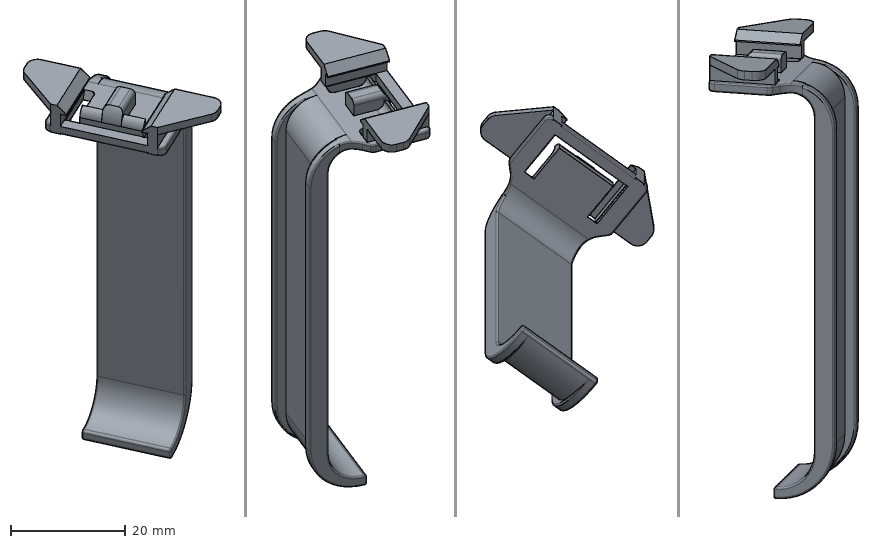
import cadquery as cq
import math

height = 80.0
depth = 22.2

plate_thickness = 1.7
plate_drop = 4.4
plate_top = height - plate_drop
plate_bottom = plate_top - plate_thickness
plate_half_width = 11.3
plate_front_radius = 1.2
plate_edge_fillet = 0.25
clip_length = 11.85

arm_half_width = 8.3
arm_thickness = 3.7
channel_half_width = 6.4
channel_depth = 2.0
arm_edge_fillet = 0.3
arm_front = depth - arm_thickness
channel_floor = depth - channel_depth

inner_bend_radius = 4.25
bend_y = arm_front - inner_bend_radius

hook_inner_radius = 6.8
hook_y = arm_front - hook_inner_radius
tip_thickness = 2.1
tip_y = 11.1
tip_fillet = 0.5

shoulder_end_y = 16.4
shoulder_hollow_radius = 5.2
shoulder_corner_radius = 1.3

post_outer = 10.0
post_inner = 8.2
wing_tip = 18.1
wing_thickness = 1.6
wing_corner_y = 7.6
wing_corner_radius = 2.0
barb_top = 8.8
barb_tip = 7.05
barb_slope_drop = 1.5
barb_drop = 1.8

window_half_width = 8.0
window_front = 2.2
window_back = 11.0
window_ramp = 0.8
window_corner_radius = 0.8
tongue_half_width = 5.9
tongue_front = 3.7
tongue_crest_y = 5.05
tongue_ramp_y = 6.4
tongue_crest_drop = 2.65
tongue_crest_z = height - tongue_crest_drop
nose_base_height = 1.5
nose_base_z = plate_bottom + nose_base_height

bump_half_width = 1.85
bump_back = 10.8
bump_drop = 1.3
bump_top = height - bump_drop
bump_fillet = 1.0

DIAGONAL = math.sqrt(0.5)


def yz_prism(profile, half_width):
    """Extrude a YZ profile equally to both sides of the middle plane."""
    return profile.extrude(half_width, both=True)


def yz_start(y, z):
    """Start a YZ profile at the given point."""
    return cq.Workplane("YZ").moveTo(y, z)


def arc_to(profile, center, radius, start_angle, end_angle):
    """Continue a profile along a circular arc; angles in degrees."""
    def on_circle(angle):
        a = math.radians(angle)
        return (center[0] + radius * math.cos(a), center[1] + radius * math.sin(a))

    return profile.threePointArc(on_circle((start_angle + end_angle) / 2), on_circle(end_angle))


def hook_profile(back_y, front_end_y):
    """Plate, bend, arm and hook in one strip whose back surface lies at back_y."""
    bend = back_y - bend_y
    hook = back_y - hook_y
    profile = yz_start(front_end_y, plate_top).lineTo(bend_y, plate_top)
    profile = arc_to(profile, (bend_y, plate_top - bend), bend, 90, 0)
    profile = profile.lineTo(back_y, hook)
    profile = arc_to(profile, (hook_y, hook), hook, 0, -90)
    profile = profile.lineTo(tip_y, 0).lineTo(tip_y, tip_thickness).lineTo(hook_y, tip_thickness)
    profile = arc_to(profile, (hook_y, tip_thickness + hook_inner_radius), hook_inner_radius, -90, 0)
    profile = profile.lineTo(arm_front, plate_bottom - inner_bend_radius)
    profile = arc_to(profile, (bend_y, plate_bottom - inner_bend_radius), inner_bend_radius, 0, 90)
    return profile.lineTo(front_end_y, plate_bottom).close()


def rounded_strip(back_y, width):
    """Arm strip, centered in X, with a rounded tip and rounded long edges."""
    strip = yz_prism(hook_profile(back_y, clip_length), width / 2)
    tip_middle_y = (tip_y + hook_y) / 2
    tip = cq.selectors.BoxSelector((-depth, 0, -tip_thickness), (depth, tip_middle_y, 2 * tip_thickness))
    strip = strip.edges("|X").edges(tip).fillet(tip_fillet)
    return strip.faces("<X or >X").edges("not(<Y)").fillet(arm_edge_fillet)


def make_arm():
    """Web with a rib along each side of its back."""
    rib_width = arm_half_width - channel_half_width
    rib = rounded_strip(depth, rib_width).translate((arm_half_width - rib_width / 2, 0, 0))
    return rounded_strip(channel_floor, 2 * arm_half_width).union(rib).union(rib.mirror("YZ"))


def make_channel():
    """Space behind the web, running out to nothing at the plate and at the hook tip."""
    bend = channel_floor - bend_y
    hook = channel_floor - hook_y
    profile = yz_start(bend_y, plate_top)
    profile = arc_to(profile, (bend_y, plate_top - bend), bend, 90, 0)
    profile = profile.lineTo(channel_floor, hook)
    profile = arc_to(profile, (hook_y, hook), hook, 0, -90)
    profile = profile.lineTo(2 * depth, 0).lineTo(2 * depth, plate_top).close()
    return yz_prism(profile, channel_half_width)


def make_plate():
    """Plate with rounded front corners that narrows through an S-shaped shoulder to the arm."""
    turn = 1 - DIAGONAL
    hollow_end_x = arm_half_width + shoulder_hollow_radius * turn
    hollow_end_y = shoulder_end_y - shoulder_hollow_radius * DIAGONAL
    corner_x = plate_half_width - shoulder_corner_radius * turn
    corner_y = hollow_end_y - (corner_x - hollow_end_x)
    side_end_y = corner_y - shoulder_corner_radius * DIAGONAL
    hollow_center = (arm_half_width + shoulder_hollow_radius, shoulder_end_y)
    corner_center = (plate_half_width - shoulder_corner_radius, side_end_y)
    front_center = (plate_half_width - plate_front_radius, plate_front_radius)

    half = cq.Workplane("XY", origin=(0, 0, height / 2)).lineTo(front_center[0], 0)
    half = arc_to(half, front_center, plate_front_radius, -90, 0)
    half = half.lineTo(plate_half_width, side_end_y)
    half = arc_to(half, corner_center, shoulder_corner_radius, 0, 45)
    half = half.lineTo(hollow_end_x, hollow_end_y)
    half = arc_to(half, hollow_center, shoulder_hollow_radius, 225, 180)
    half = half.lineTo(0, shoulder_end_y).close().extrude(height / 2)
    outline = half.union(half.mirror("YZ"))

    strip = yz_prism(hook_profile(depth, 0), plate_half_width)
    plate = strip.intersect(outline)
    side_edges = cq.selectors.BoxSelector((-depth, 0, 0), (depth, clip_length, 2 * height))
    return plate.edges("not (|X or |Z)").edges(side_edges).fillet(plate_edge_fillet)


def make_window():
    """U-shaped opening around the tongue, with a ramp at the closed end of each leg."""
    leg_width = window_half_width - tongue_half_width
    ramp_top_y = window_back + window_ramp
    leg = (
        cq.Workplane("XY", origin=(tongue_half_width, window_front, plate_bottom))
        .rect(leg_width, ramp_top_y - window_front, centered=False)
        .extrude(plate_thickness)
        .edges("|Z and >Y and <X")
        .fillet(window_corner_radius)
    )
    ramp = yz_prism(
        yz_start(window_back, plate_bottom)
        .lineTo(ramp_top_y, plate_bottom)
        .lineTo(ramp_top_y, plate_top)
        .close(),
        window_half_width,
    )
    leg = leg.cut(ramp)
    front_gap = (
        cq.Workplane("XY", origin=(-window_half_width, window_front, plate_bottom))
        .rect(2 * window_half_width, tongue_front - window_front, centered=False)
        .extrude(plate_thickness)
    )
    return front_gap.union(leg).union(leg.mirror("YZ"))


def make_front_bar():
    """Square-topped bar that joins the feet of the two posts in front of the window."""
    bar_bottom = plate_bottom + plate_edge_fillet
    return (
        cq.Workplane("XY", origin=(-post_outer, 0, bar_bottom))
        .rect(2 * post_outer, window_front, centered=False)
        .extrude(plate_top - bar_bottom)
    )


def front_outline(crest_z):
    """Upright tongue front, then an arc tangent to it that ends at the crest."""
    run = tongue_crest_y - tongue_front
    rise = crest_z - nose_base_z
    radius = (run**2 + rise**2) / (2 * run)
    center = (tongue_front + radius, nose_base_z)
    crest_angle = 180 - math.degrees(math.atan2(rise, radius - run))
    profile = yz_start(tongue_front, plate_bottom).lineTo(tongue_front, nose_base_z)
    return arc_to(profile, center, radius, 180, crest_angle)


def make_tongue_lip():
    """Raised lip across the tongue: hollow ramp behind the crest, round nose in front."""
    rise = tongue_crest_z - plate_top
    run = tongue_ramp_y - tongue_crest_y
    profile = front_outline(tongue_crest_z)
    radius = (run**2 + rise**2) / (2 * rise)
    crest_angle = math.degrees(math.atan2(rise - radius, -run))
    profile = arc_to(profile, (tongue_ramp_y, plate_top + radius), radius, crest_angle % 360, 270)
    return yz_prism(profile.lineTo(tongue_ramp_y, plate_bottom).close(), tongue_half_width)


def make_bump():
    """Finger bump with rounded long edges and the curved tongue front."""
    block = (
        cq.Workplane("XY", origin=(-bump_half_width, tongue_front, plate_bottom))
        .rect(2 * bump_half_width, bump_back - tongue_front, centered=False)
        .extrude(bump_top - plate_bottom)
        .edges("|Y and >Z")
        .fillet(bump_fillet)
    )
    front = front_outline(bump_top)
    front = front.lineTo(bump_back, bump_top).lineTo(bump_back, plate_bottom).close()
    return block.intersect(yz_prism(front, bump_half_width))


def make_side():
    """Post with its inward barb, and the wing that reaches outward from it."""
    post = (
        cq.Workplane("XZ")
        .moveTo(post_outer, plate_bottom)
        .lineTo(post_outer, height)
        .lineTo(barb_top, height)
        .lineTo(barb_tip, height - barb_slope_drop)
        .lineTo(barb_tip, height - barb_drop)
        .lineTo(post_inner, height - barb_drop)
        .lineTo(post_inner, plate_bottom)
        .close()
        .extrude(-clip_length)
    )
    wing = (
        cq.Workplane("XY", origin=(0, 0, height - wing_thickness))
        .moveTo(post_outer, 0)
        .lineTo(wing_tip, wing_corner_y)
        .lineTo(wing_tip, clip_length)
        .lineTo(post_outer, clip_length)
        .close()
        .extrude(wing_thickness)
    )
    wing_middle_x = (post_outer + wing_tip) / 2
    tip_edges = cq.selectors.BoxSelector((wing_middle_x, 0, 0), (2 * wing_tip, depth, 2 * height))
    return post.union(wing.edges("|Z").edges(tip_edges).fillet(wing_corner_radius))


side = make_side()
result = (
    make_plate()
    .cut(make_channel())
    .union(make_front_bar())
    .union(make_arm())
    .cut(make_window())
    .union(make_tongue_lip())
    .union(make_bump())
    .union(side)
    .union(side.mirror("YZ"))
)